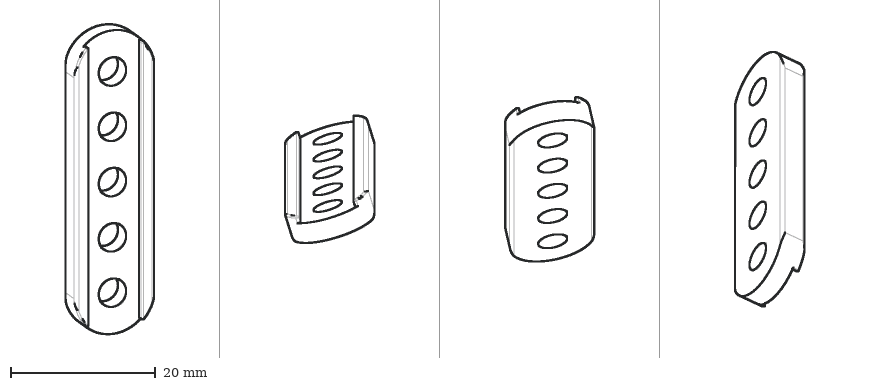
import cadquery as cq

length = 44.0
width = 12.0
web_thickness = 3.0
total_thickness = 4.0
rail_width = 2.05
rail_edge_radius = 0.25
long_edge_radius = 0.55
hole_diameter = 4.1
hole_pitch = 8.0
hole_count = 5


def rounded_bar(thickness):
    """Bar with full-round ends, extruded from the back face toward +X."""
    return cq.Workplane("YZ").slot2D(length, width, 90).extrude(thickness)


def rail(side):
    """Rail along one long side (side is +1 or -1), rounded at its tips and front rim."""
    rail_center = side * (width - rail_width) / 2
    strip = cq.Workplane("YZ").center(rail_center, 0).rect(rail_width, length).extrude(total_thickness)
    body = rounded_bar(total_thickness).intersect(strip)
    inner_wall = ">Y" if side < 0 else "<Y"
    body = body.faces(inner_wall).edges("|X").fillet(rail_edge_radius)
    return body.faces(">X").edges().fillet(rail_edge_radius)


blank = rounded_bar(web_thickness)
for side in (-1, 1):
    blank = blank.union(rail(side))

envelope = (
    cq.Workplane("YZ")
    .rect(width, length)
    .extrude(total_thickness)
    .edges("|Z")
    .fillet(long_edge_radius)
)

holes = (
    cq.Workplane("YZ")
    .rarray(0.45, hole_pitch, 1, hole_count)
    .circle(hole_diameter / 2)
    .extrude(total_thickness)
)

result = blank.intersect(envelope).cut(holes)